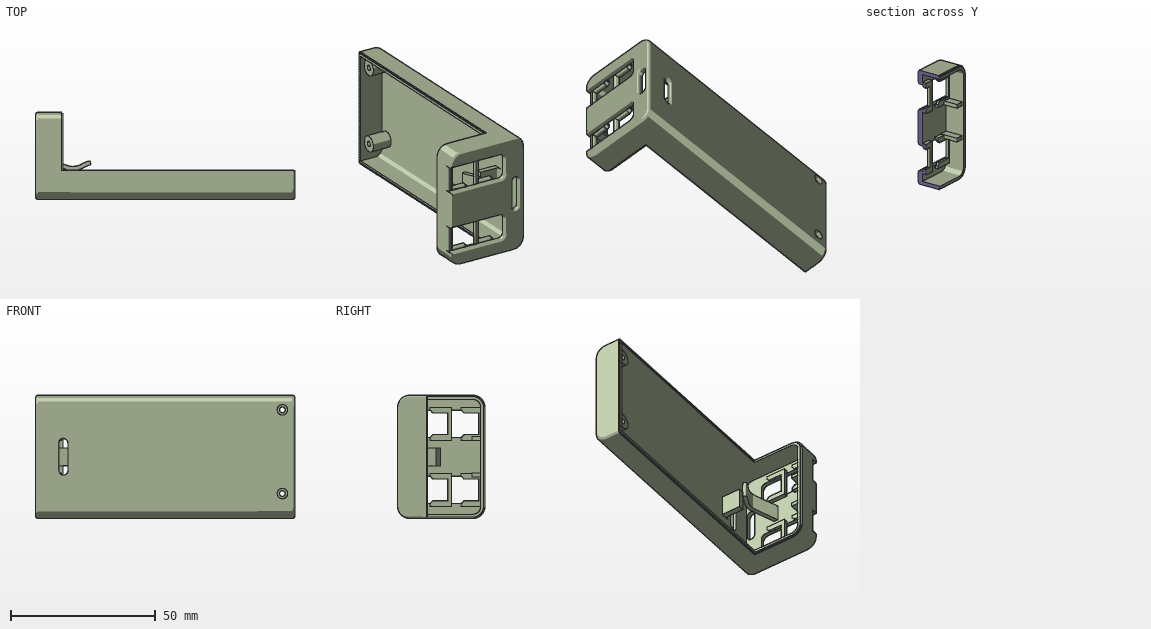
import cadquery as cq
import math

LENGTH = 89.56
HEAD_HEIGHT = 30.23
WIDTH = 42.65

WALL = 1.5
END_WALL = 2.0
HEAD_DEPTH = 9.58
ARM_DEPTH = 10.3
CORNER_RADIUS = 4.3
END_FILLET = 1.0
LIP_INSET = 0.5
HEAD_LIP = 0.62
ARM_LIP = 0.3

SLOT_WIDTH = 3.0
SLOT_STRAIGHT = 9.5
SLOT_FILLET = 0.62
FRONT_SLOT_X = 9.65
END_SLOT_Y = 3.5

WINDOW_Z = 11.4
WINDOW_HEIGHT = 9.3
WINDOW_BOTTOM = 7.86
WINDOW_RADIUS = 1.75
WINDOW_FILLET = 0.95
NOTCH_FILLET = 1.0

SEAT_HALF_OPENING = 3.68
SEAT_ARM_THICKNESS = 2.0
SEAT_ARM_LENGTH = 5.05
SEAT_TAPER = 1.0
SEAT_FILLET = 0.9
SEAT_BACK_THICKNESS = 1.4
UPPER_SEAT_Y = 28.05
SEAT_PITCH = 10.75
SEAT_DEPTH = 1.5
RIB_Z = 7.0
RIB_WIDTH = 2.4
RIB_THICKNESS = 1.4

TONGUE_WIDTH = 6.2
TONGUE_THICKNESS = 1.5
TONGUE_LOW_X = 12.9
TONGUE_LOW_Y = 10.0
TONGUE_RADIUS = 6.0
TONGUE_TIP_RADIUS = 10.6
TONGUE_ROOT_ANGLE = math.radians(19)
TONGUE_RISE_ANGLE = math.radians(30)
TONGUE_TIP_ANGLE = math.radians(15)
TONGUE_TIP_FILLET = 0.5

SCREW_X = 85.2
SCREW_HEIGHTS = (-12.67, 16.22)
SCREW_DIAMETER = 1.9
HEAD_BORE_DIAMETER = 3.6
HEAD_BORE_DEPTH = 2.0
BOSS_RADIUS = 2.9
BOSS_TOP = 8.8

STOP_X = 14.3
STOP_THICKNESS = 2.0
STOP_WIDTH = 7.86
STOP_FOOT = 1.3


def centered_box(x0, x1, y0, y1, height, z=0.0):
    """A box from its X and Y limits, centered on the given Z."""
    return cq.Workplane("XY").box(x1 - x0, y1 - y0, height).translate(((x0 + x1) / 2, (y0 + y1) / 2, z))


def rounded_bar(inset):
    """The rounded bar that holds both legs of the L, shrunk by an inset on all its sides."""
    bar = centered_box(inset, LENGTH - inset, inset, HEAD_HEIGHT - inset, WIDTH - 2 * inset)
    return bar.edges("|X").fillet(CORNER_RADIUS - inset)


def open_corner(x0, y0):
    """The space beyond the head and above the arm."""
    return centered_box(x0, LENGTH, y0, HEAD_HEIGHT, WIDTH)


def shell():
    """The hollow L, open on the inside faces of both legs, with a lip around the opening."""
    outer = rounded_bar(0).faces("<X or >X").edges().fillet(END_FILLET)
    body = outer.cut(open_corner(HEAD_DEPTH - HEAD_LIP, ARM_DEPTH - ARM_LIP))
    lip = rounded_bar(LIP_INSET).cut(open_corner(HEAD_DEPTH, ARM_DEPTH))
    cavity = rounded_bar(WALL).intersect(centered_box(END_WALL, LENGTH, 0, HEAD_HEIGHT, WIDTH))
    return body.union(lip).cut(cavity)


def flared(opening, depth, radius):
    """An opening's cutter from X = 0 to a depth, widened by a round at its -X rim."""
    box = opening.val().BoundingBox()
    margin = 2 * radius
    block = centered_box(0, depth, box.ymin - margin, box.ymax + margin, box.zlen + 2 * margin, box.center.z)
    around_opening = cq.selectors.BoxSelector(
        (-radius, box.ymin - radius, box.zmin - radius),
        (radius, box.ymax + radius, box.zmax + radius),
    )
    rim = block.cut(opening).faces("<X").edges(around_opening)
    return block.cut(rim.fillet(radius))


def strap_slot():
    """Cutter for a slot along Z, centered on the origin, through a wall from X = 0."""
    slot = cq.Workplane("YZ").slot2D(SLOT_STRAIGHT + SLOT_WIDTH, SLOT_WIDTH, 90).extrude(END_WALL)
    return flared(slot, END_WALL, SLOT_FILLET)


def cut_strap_slots(part):
    """Cuts one slot through the -X wall and one through the -Y wall."""
    end_slot = strap_slot().translate((0, END_SLOT_Y, 0))
    front_slot = strap_slot().rotate((0, 0, 0), (0, 0, 1), 90).translate((FRONT_SLOT_X, 0, 0))
    return part.cut(end_slot).cut(front_slot)


def cut_window(part, z):
    """Cuts one window through the end wall and rounds the edge it leaves on the +Y wall."""
    beyond = HEAD_HEIGHT + WALL
    window = centered_box(0, END_WALL, WINDOW_BOTTOM, beyond, WINDOW_HEIGHT, z)
    window = window.edges("|X and <Y").fillet(WINDOW_RADIUS)
    part = part.cut(flared(window, END_WALL, WINDOW_FILLET))
    exposed_edge = cq.selectors.BoxSelector(
        (END_WALL - WALL / 2, HEAD_HEIGHT - WALL / 2, z - WINDOW_HEIGHT),
        (END_WALL + WALL / 2, HEAD_HEIGHT + WALL / 2, z + WINDOW_HEIGHT),
    )
    return part.edges("|Z").edges(exposed_edge).fillet(NOTCH_FILLET)


def seat(back_y, z):
    """A U of two tapered legs on a back bar, with its inner edges rounded toward the window."""
    inner = SEAT_HALF_OPENING
    outer = inner + SEAT_ARM_THICKNESS
    leg_end = back_y - SEAT_ARM_LENGTH
    upper_leg = [(leg_end, inner), (leg_end - SEAT_TAPER, inner + SEAT_TAPER), (leg_end - SEAT_TAPER, outer)]
    lower_leg = [(y, -height) for y, height in reversed(upper_leg)]
    back = back_y + SEAT_BACK_THICKNESS
    outline = [(back_y, inner), *upper_leg, (back, outer), (back, -outer), *lower_leg, (back_y, -inner)]
    body = cq.Workplane("YZ").polyline(outline).close().extrude(SEAT_DEPTH)
    inside_of_u = cq.selectors.BoxSelector(
        (-SEAT_DEPTH, leg_end - SEAT_TAPER, -inner - SEAT_TAPER),
        (SEAT_DEPTH, back_y + SEAT_TAPER / 2, inner + SEAT_TAPER),
    )
    rim = body.faces("<X").edges(inside_of_u)
    return rim.fillet(SEAT_FILLET).translate((END_WALL, 0, z))


def rib(side):
    """A rib on the +Y wall, running along X from the inner leg of an upper seat to the open side."""
    front = UPPER_SEAT_Y - RIB_WIDTH
    z = side * (RIB_Z - RIB_THICKNESS / 2)
    return centered_box(END_WALL, HEAD_DEPTH - HEAD_LIP, front, HEAD_HEIGHT - WALL / 2, RIB_THICKNESS, z)


def polar(center, radius, angle):
    """The point at a radius from a center, with the angle counted from -Y toward +X."""
    return (center[0] + radius * math.sin(angle), center[1] - radius * math.cos(angle))


def tongue():
    """A straight root on the end wall, a dip toward the arm and a counter-bend to the tip."""
    inner = TONGUE_RADIUS
    outer = inner + TONGUE_THICKNESS
    dip = (TONGUE_LOW_X, TONGUE_LOW_Y + outer)
    counter = polar(dip, outer + TONGUE_TIP_RADIUS, TONGUE_RISE_ANGLE)
    middle_angle = (TONGUE_RISE_ANGLE + TONGUE_TIP_ANGLE) / 2

    def on_dip(radius, angle):
        return polar(dip, radius, angle)

    def on_counter_bend(radius, angle):
        return polar(counter, radius - outer - TONGUE_TIP_RADIUS, angle)

    def root(radius):
        x = END_WALL / 2
        start_x, start_y = on_dip(radius, -TONGUE_ROOT_ANGLE)
        return (x, start_y + (start_x - x) * math.tan(TONGUE_ROOT_ANGLE))

    strip = (
        cq.Workplane("XY", origin=(0, 0, -TONGUE_WIDTH / 2))
        .moveTo(*root(inner))
        .lineTo(*on_dip(inner, -TONGUE_ROOT_ANGLE))
        .threePointArc(on_dip(inner, 0), on_dip(inner, TONGUE_RISE_ANGLE))
        .threePointArc(on_counter_bend(inner, middle_angle), on_counter_bend(inner, TONGUE_TIP_ANGLE))
        .lineTo(*on_counter_bend(outer, TONGUE_TIP_ANGLE))
        .threePointArc(on_counter_bend(outer, middle_angle), on_counter_bend(outer, TONGUE_RISE_ANGLE))
        .threePointArc(on_dip(outer, 0), on_dip(outer, -TONGUE_ROOT_ANGLE))
        .lineTo(*root(outer))
        .close()
        .extrude(TONGUE_WIDTH)
    )
    return strip.faces(">X").edges("|Z").fillet(TONGUE_TIP_FILLET)


def standing_cylinder(x, z, radius, y0, y1):
    """A cylinder along Y."""
    return cq.Workplane("XZ", origin=(x, y0, z)).circle(radius).extrude(y0 - y1)


def add_screw_boss(part, z):
    """Adds a boss on the arm's floor, drilled through and counterbored from -Y."""
    boss = standing_cylinder(SCREW_X, z, BOSS_RADIUS, WALL / 2, BOSS_TOP).intersect(rounded_bar(WALL / 2))
    hole = standing_cylinder(SCREW_X, z, SCREW_DIAMETER / 2, 0, BOSS_TOP)
    bore = standing_cylinder(SCREW_X, z, HEAD_BORE_DIAMETER / 2, 0, HEAD_BORE_DEPTH)
    return part.union(boss).cut(hole).cut(bore)


def stop_block():
    """A block on the arm's floor, as tall as the screw bosses, with a concave foot on its -X side."""
    arc_middle = STOP_FOOT * (1 - math.sqrt(0.5))
    return (
        cq.Workplane("XY", origin=(STOP_X, 0, -STOP_WIDTH / 2))
        .moveTo(STOP_THICKNESS, WALL / 2)
        .lineTo(STOP_THICKNESS, BOSS_TOP)
        .lineTo(0, BOSS_TOP)
        .lineTo(0, WALL + STOP_FOOT)
        .threePointArc((-arc_middle, WALL + arc_middle), (-STOP_FOOT, WALL))
        .lineTo(-STOP_FOOT, WALL / 2)
        .close()
        .extrude(STOP_WIDTH)
    )


result = cut_strap_slots(shell())
for side in (-1, 1):
    window_z = side * WINDOW_Z
    result = cut_window(result, window_z)
    result = result.union(seat(UPPER_SEAT_Y, window_z)).union(rib(side))
    result = result.union(seat(UPPER_SEAT_Y - SEAT_PITCH, window_z))
for screw_z in SCREW_HEIGHTS:
    result = add_screw_boss(result, screw_z)
result = result.union(tongue()).union(stop_block())